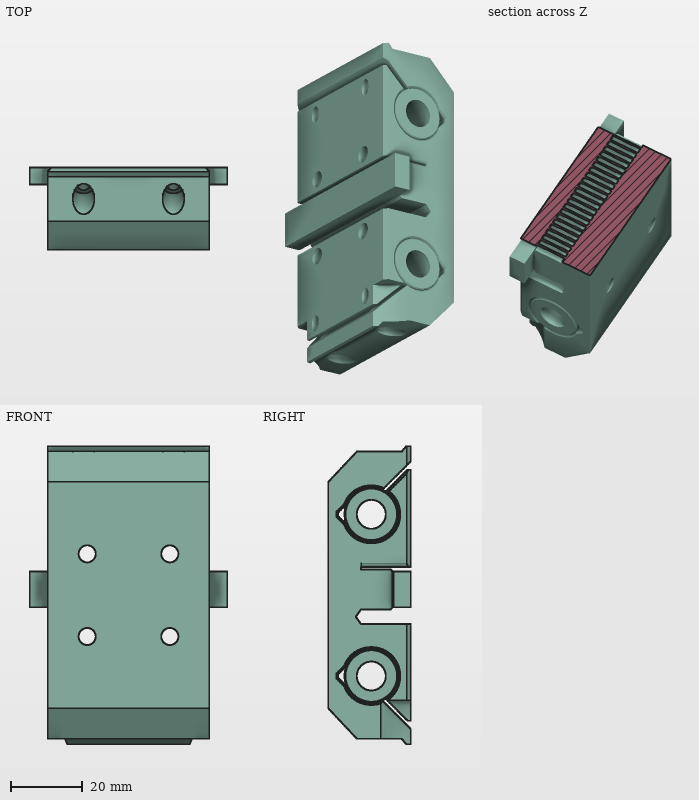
import cadquery as cq
import math

width = 45.0
depth = 23.0
body_half_height = 40.0
half_width = width / 2

front_chamfer_y = 8.0
front_chamfer_z = 8.5
back_chamfer = 1.1

lip_height = 1.5
lip_thickness = 1.25
lip_slope_y = 1.3
lip_z = body_half_height + lip_height

bearing_y = -11.0
bearing_z = 22.5
bearing_diameter = 15.0
bearing_end_diameter = 14.3
shaft_diameter = 8.0
bearing_radius = bearing_diameter / 2
bearing_chamfer = (bearing_diameter - bearing_end_diameter) / 2

bore_clearance = 0.1
bore_radius = bearing_radius + bore_clearance
bore_chamfer = 0.5
relief_corner = 9.7
relief_depth = 9.2

slit_near_z = 35.85
slit_far_z = 37.25
jaw_tip_z = 34.95
jaw_chamfer = 0.6

screw_x = 12.5
screw_y = -8.8
screw_hole_diameter = 3.4
screw_head_diameter = 6.0
screw_head_depth = 5.2

slot_floor_y = -13.85
tongue_top = 7.2
tongue_bottom = -4.0
tongue_end_y = -5.1
tongue_chamfer = 0.55
belt_slot_roof = 7.8
belt_entry_radius = 1.1
return_slot_height = 4.0
return_slot_tip = 1.45
return_slot_bottom = tongue_bottom - return_slot_height

tooth_pitch = 2.0
tooth_radius = 0.75
tooth_count = 22
first_tooth_x = -21.75
tooth_depth = 0.55

mount_hole_diameter = 4.7
mount_hole_pitch = 23.0
rod_clearance_radius = 20.0
rod_x = 35.2
rod_y = 7.1
rod_clearance_top = -29.25

bar_length = 55.0
bar_depth = 4.8
bar_height = 10.0
bar_z = (tongue_top + tongue_bottom) / 2

cut_margin = 5.0


def prism(points, length=width):
    """Outline of (y, z) points, extruded along X and centred on x = 0."""
    return cq.Workplane("YZ").polyline(points).close().extrude(length / 2, both=True)


def both_ends(shape):
    """The shape for the upper end and its mirror image for the lower end."""
    return [shape, shape.mirror("XY")]


def block_blank():
    upper_edge = [
        (0, lip_z),
        (-lip_thickness, lip_z),
        (-lip_thickness - lip_slope_y, body_half_height),
        (-depth + front_chamfer_y, body_half_height),
        (-depth, body_half_height - front_chamfer_z),
    ]
    lower_edge = [(y, -z) for y, z in reversed(upper_edge)]
    blank = prism(upper_edge + lower_edge)
    return blank.faces(">Y").edges("|Z").chamfer(back_chamfer)


def bore_outline():
    """Bore circle that opens into a 45 degree relief with a flat tip towards the front."""
    wall_distance = relief_corner / math.sqrt(2)
    leave_angle = math.pi / 4 - math.acos(wall_distance / bore_radius)
    leave_y = -bore_radius * math.cos(leave_angle)
    leave_z = bore_radius * math.sin(leave_angle)
    tip_half_height = relief_corner - relief_depth
    return (
        cq.Workplane("YZ").center(bearing_y, bearing_z)
        .moveTo(leave_y, leave_z)
        .threePointArc((bore_radius, 0), (leave_y, -leave_z))
        .lineTo(-relief_depth, -tip_half_height)
        .lineTo(-relief_depth, tip_half_height)
        .close()
    )


def cut_bores(block):
    for cutter in both_ends(bore_outline().extrude(half_width, both=True)):
        block = block.cut(cutter)
    for end_x in (-half_width, half_width):
        bore_rims = cq.selectors.BoxSelector(
            (end_x - bore_chamfer, bearing_y - relief_corner, -bearing_z - relief_corner),
            (end_x + bore_chamfer, bearing_y + relief_corner, bearing_z + relief_corner),
        )
        block = block.edges(bore_rims).chamfer(bore_chamfer)
    return block


def slit_cutter():
    """Upper slit with the flat jaw tip and the chamfered ends of the jaw."""
    def on_slit(edge_z, y):
        return (y, edge_z + y)

    tip_y = jaw_tip_z - slit_near_z
    cutter = prism([
        on_slit(slit_far_z, cut_margin),
        on_slit(slit_far_z, bearing_y),
        on_slit(slit_near_z, bearing_y),
        (tip_y, jaw_tip_z),
        (cut_margin, jaw_tip_z),
    ])
    jaw_plane = cq.Plane(
        origin=(0, 0, slit_near_z), xDir=(1, 0, 0), normal=(0, 1, 1)
    )
    slit_length = -bearing_y * math.sqrt(2)
    for side in (-1, 1):
        wedge = (
            cq.Workplane(jaw_plane)
            .polyline([
                (side * half_width, 0),
                (side * (half_width - jaw_chamfer), 0),
                (side * half_width, jaw_chamfer),
            ])
            .close().extrude(-slit_length)
        )
        cutter = cutter.union(wedge)
    return cutter


def screw_cutter(x):
    """Upper clamping screw hole with its counterbore, opening in the top face."""
    axis = cq.Plane(
        origin=(x, screw_y, body_half_height), xDir=(1, 0, 0), normal=(0, -1, 1)
    )
    through_length = -screw_y * math.sqrt(2) + screw_hole_diameter
    hole = cq.Workplane(axis).circle(screw_hole_diameter / 2).extrude(-through_length)
    head = (
        cq.Workplane(axis).workplane(offset=-screw_head_depth)
        .circle(screw_head_diameter / 2).extrude(screw_head_depth + screw_head_diameter)
    )
    return hole.union(head)


def belt_slot_cutter():
    """Narrow slot above the tongue, its roof rounded at both ends, and the space for the bar."""
    slot = prism([
        (0, belt_slot_roof),
        (slot_floor_y, belt_slot_roof),
        (slot_floor_y, tongue_top),
        (tongue_end_y - tongue_chamfer, tongue_top),
        (tongue_end_y, tongue_top - tongue_chamfer),
        (tongue_end_y, tongue_bottom),
        (0, tongue_bottom),
    ])
    slot_length = -slot_floor_y
    for side in (-1, 1):
        entry = (
            cq.Workplane("XZ")
            .moveTo(side * half_width, belt_slot_roof)
            .lineTo(side * half_width, belt_slot_roof + belt_entry_radius)
            .radiusArc((side * (half_width - belt_entry_radius), belt_slot_roof),
                       side * belt_entry_radius)
            .close().extrude(slot_length)
        )
        slot = slot.union(entry)
    return slot


def return_slot_cutter():
    """Wide slot below the tongue with a pointed floor, chamfering the tongue's lower corner."""
    return prism([
        (0, return_slot_bottom),
        (slot_floor_y, return_slot_bottom),
        (slot_floor_y - return_slot_tip, return_slot_bottom + return_slot_height / 2),
        (slot_floor_y, tongue_bottom),
        (tongue_end_y - tongue_chamfer, tongue_bottom),
        (tongue_end_y, tongue_bottom + tongue_chamfer),
        (0, tongue_bottom + tongue_chamfer),
    ])


def belt_teeth_cutter():
    centres = [
        (first_tooth_x + index * tooth_pitch, tongue_top - tooth_depth + tooth_radius)
        for index in range(tooth_count)
    ]
    groove_length = tongue_end_y - slot_floor_y
    return (
        cq.Workplane("XZ").workplane(offset=-tongue_end_y)
        .pushPoints(centres).circle(tooth_radius).extrude(groove_length)
    )


def mount_holes_cutter():
    return (
        cq.Workplane("XZ")
        .rect(mount_hole_pitch, mount_hole_pitch, forConstruction=True)
        .vertices().circle(mount_hole_diameter / 2).extrude(depth)
    )


def rod_clearance_cutter():
    """Round clearance at both lower back corners of the block."""
    return (
        cq.Workplane("XY").workplane(offset=rod_clearance_top)
        .pushPoints([(-rod_x, rod_y), (rod_x, rod_y)])
        .circle(rod_clearance_radius).extrude(-lip_z - cut_margin)
    )


def make_carriage():
    block = cut_bores(block_blank())
    for cutter in both_ends(slit_cutter()):
        block = block.cut(cutter)
    for x in (-screw_x, screw_x):
        for cutter in both_ends(screw_cutter(x)):
            block = block.cut(cutter)
    for cutter in (
        belt_slot_cutter(),
        return_slot_cutter(),
        belt_teeth_cutter(),
        mount_holes_cutter(),
        rod_clearance_cutter(),
    ):
        block = block.cut(cutter)
    return block


def make_bearing(z):
    return (
        cq.Workplane("YZ").workplane(offset=-half_width).center(bearing_y, z)
        .circle(bearing_radius).extrude(width)
        .edges().chamfer(bearing_chamfer)
        .faces("<X").workplane(origin=(0, bearing_y, z)).hole(shaft_diameter)
    )


def make_stop_bar():
    bar = cq.Workplane("XY").box(bar_length, bar_depth, bar_height)
    return bar.translate((0, -bar_depth / 2, bar_z))


carriage = make_carriage()
bearings = [make_bearing(z) for z in (bearing_z, -bearing_z)]
stop_bar = make_stop_bar()

result = cq.Compound.makeCompound(
    [carriage.val()] + [bearing.val() for bearing in bearings] + [stop_bar.val()]
)